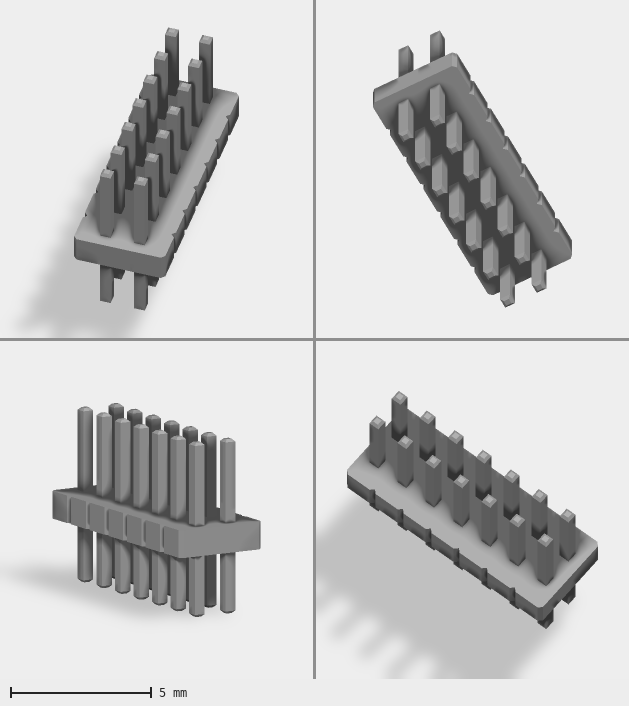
import cadquery as cq

row_count = 7
column_count = 2
body_length = 8.89
pitch = body_length / row_count

body_width = 3.4
body_height = 1.0
notch_depth = 0.13

pin_side = 0.4
pin_length = 6.3
pin_below_body = 2.3
pin_tip_chamfer = 0.1


def side_outline():
    """Points up the +X side: cut corners at both ends and a V notch between neighbouring rows."""
    outer_x = body_width / 2
    inner_x = outer_x - notch_depth
    points = []
    for row in range(row_count):
        row_start = -body_length / 2 + row * pitch
        row_end = row_start + pitch
        points.append((inner_x, row_start))
        points.append((outer_x, row_start + notch_depth))
        points.append((outer_x, row_end - notch_depth))
    points.append((inner_x, body_length / 2))
    return points


def make_body():
    right_side = side_outline()
    left_side = [(-x, y) for x, y in reversed(right_side)]
    return cq.Workplane("XY").polyline(right_side + left_side).close().extrude(body_height)


def make_pins():
    return (
        cq.Workplane("XY", origin=(0, 0, -pin_below_body))
        .rarray(pitch, pitch, column_count, row_count)
        .rect(pin_side, pin_side)
        .extrude(pin_length)
        .faces("<Z or >Z")
        .chamfer(pin_tip_chamfer)
    )


result = make_body().union(make_pins())